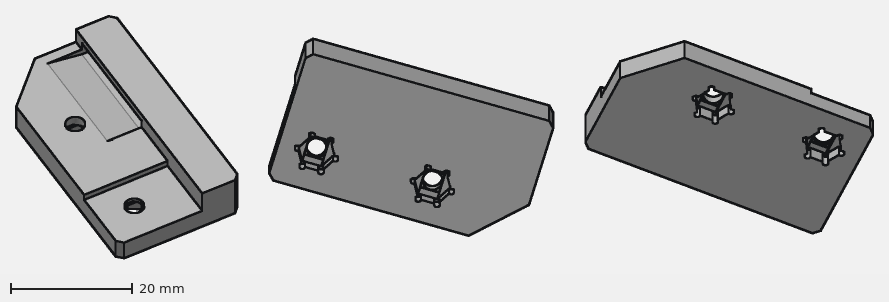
import cadquery as cq
import math

LENGTH = 42.7
WIDTH = 23.0
HEIGHT = 8.0

RAIL_WIDTH = 7.2
DECK_HEIGHT = 5.0
SHELF_HEIGHT = 3.8
SHELF_START_X = 31.0

LARGE_CHAMFER = 8.03
SMALL_CHAMFER = 1.02

POCKET_START_X = 2.0
POCKET_LENGTH = 20.2
POCKET_ROOF_Z = 6.5
RAMP_RUN = 6.5
RAMP_ANGLE = 10.0
UNDERCUT_DEPTH = 3.5

HOLE_DIAMETER = 3.3
HOLE_Y = 6.58
FIRST_HOLE_X = 16.23
HOLE_SPACING = 20.0
NUT_FLATS = 5.6
NUT_DEPTH = 2.5
NUT_RELIEF_DIAMETER = 1.0
BRIDGE_STEP = 0.25

rail_face_y = WIDTH - RAIL_WIDTH
nut_corner_diameter = NUT_FLATS / math.cos(math.radians(30))


def make_body():
    """Block with the rail, deck and shelf levels and its chamfered corners."""
    body = cq.Workplane("XY").box(LENGTH, WIDTH, HEIGHT, centered=False)

    above_deck = (
        cq.Workplane("XY", origin=(0, 0, DECK_HEIGHT))
        .box(LENGTH, rail_face_y, HEIGHT - DECK_HEIGHT, centered=False)
    )
    above_shelf = (
        cq.Workplane("XY", origin=(SHELF_START_X, 0, SHELF_HEIGHT))
        .box(LENGTH - SHELF_START_X, rail_face_y, HEIGHT - SHELF_HEIGHT, centered=False)
    )
    body = body.cut(above_deck).cut(above_shelf)

    body = body.edges("|Z and <X and <Y").chamfer(LARGE_CHAMFER)
    for corner in ("|Z and >X and <Y", "|Z and <X and >Y", "|Z and >X and >Y"):
        body = body.edges(corner).chamfer(SMALL_CHAMFER)
    return body


def make_pocket():
    """Cutter with a sloping floor in the deck and a level floor under the rail."""
    floor_z = DECK_HEIGHT - RAMP_RUN * math.tan(math.radians(RAMP_ANGLE))
    ramp_start_y = rail_face_y - RAMP_RUN
    back_y = rail_face_y + UNDERCUT_DEPTH
    profile = [
        (ramp_start_y, DECK_HEIGHT),
        (rail_face_y, floor_z),
        (back_y, floor_z),
        (back_y, POCKET_ROOF_Z),
        (ramp_start_y, POCKET_ROOF_Z),
    ]
    return (
        cq.Workplane("YZ", origin=(POCKET_START_X, 0, 0))
        .polyline(profile)
        .close()
        .extrude(POCKET_LENGTH)
    )


def make_screw_hole(x):
    """Cutter for one through hole, its nut recess and two steps that bridge the recess roof."""
    base = cq.Workplane("XY", origin=(x, HOLE_Y, 0))
    hole = base.circle(HOLE_DIAMETER / 2).extrude(HEIGHT)

    nut = base.polygon(6, nut_corner_diameter).extrude(NUT_DEPTH)
    reliefs = (
        base.polarArray(nut_corner_diameter / 2, 0, 360, 6)
        .circle(NUT_RELIEF_DIAMETER / 2)
        .extrude(NUT_DEPTH)
    )

    slot = base.rect(HOLE_DIAMETER, NUT_FLATS).extrude(NUT_DEPTH + BRIDGE_STEP)
    square = base.rect(HOLE_DIAMETER, HOLE_DIAMETER).extrude(NUT_DEPTH + 2 * BRIDGE_STEP)
    return hole.union(nut).union(reliefs).union(slot).union(square)


result = make_body().cut(make_pocket())
for hole_x in (FIRST_HOLE_X, FIRST_HOLE_X + HOLE_SPACING):
    result = result.cut(make_screw_hole(hole_x))